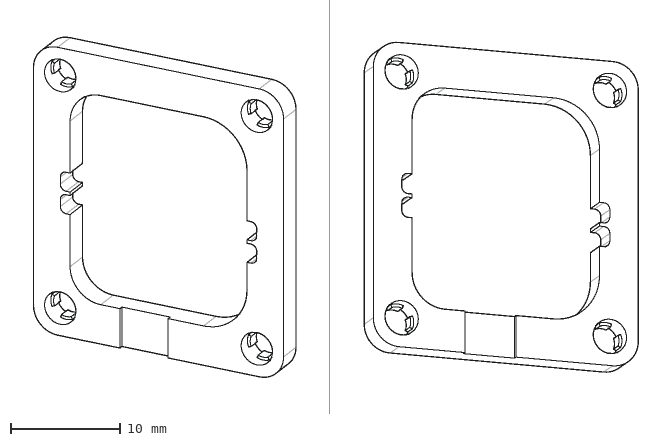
import cadquery as cq
import math

width = 25.8
height = 28.8
thickness = 2.5
corner_radius = 2.5

window_width = 18.23
window_height = 20.9
window_left_radius = 3.17
window_right_radius = 4.45

notch_depth = 1.0
notch_height = 1.9
notch_web = 0.35
notch_radius = 0.6
left_notches_z = 0.0
right_notches_z = -1.12

hole_x = 10.15
hole_z = 11.64
hole_radius = 1.6
tab_inner_radius = 1.32
tab_angle = 45.0
tab_thickness = thickness / 2
tab_count = 4

recess_center_x = -1.5
recess_width = 4.95
recess_depth = 0.4


def block(x_size, z_size, x=0.0, z=0.0, depth=thickness):
    """Box centred on (x, z) that runs from the front face back to the given depth."""
    return cq.Workplane("XY").box(x_size, depth, z_size).translate((x, depth / 2, z))


def cylinder(radius, start, end):
    """Cylinder about the Y axis from y = start to y = end."""
    return cq.Workplane("XZ", origin=(0, start, 0)).circle(radius).extrude(start - end)


def make_window():
    opening = block(window_width, window_height)
    opening = opening.edges("|Y and <X").fillet(window_left_radius)
    return opening.edges("|Y and >X").fillet(window_right_radius)


def make_notch_pair(side, center_z):
    """Two notches cut outward from the window edge; side is -1 for -X and 1 for +X."""
    edge_x = side * window_width / 2
    outer_edges = "|Y and >X" if side > 0 else "|Y and <X"
    pitch = notch_height + notch_web
    pair = cq.Workplane("XY")
    for offset in (-pitch / 2, pitch / 2):
        notch = block(2 * notch_depth, notch_height, edge_x, center_z + offset)
        pair = pair.add(notch.edges(outer_edges).fillet(notch_radius))
    return pair.combine()


def make_tab():
    """One ring sector centred on +X, between the tab radius and the hole wall."""
    wedge_length = 2 * hole_radius
    wedge_half_width = wedge_length * math.tan(math.radians(tab_angle / 2))
    tab_front = thickness - tab_thickness
    wedge = (
        cq.Workplane("XZ", origin=(0, tab_front, 0))
        .polyline([(0, 0), (wedge_length, -wedge_half_width), (wedge_length, wedge_half_width)])
        .close()
        .extrude(-tab_thickness)
    )
    ring = cylinder(hole_radius, tab_front, thickness).cut(
        cylinder(tab_inner_radius, tab_front, thickness)
    )
    return ring.intersect(wedge)


def make_hole():
    """Cutter for a corner hole that leaves the tabs standing."""
    hole = cylinder(hole_radius, 0, thickness)
    tab = make_tab()
    for i in range(tab_count):
        hole = hole.cut(tab.rotate((0, 0, 0), (0, 1, 0), i * 360 / tab_count))
    return hole


def make_recess():
    rail_height = (height - window_height) / 2
    rail_z = -(height - rail_height) / 2
    return block(recess_width, rail_height, recess_center_x, rail_z, recess_depth)


result = block(width, height).edges("|Y").fillet(corner_radius)
result = result.cut(make_window())
result = result.cut(make_notch_pair(-1, left_notches_z))
result = result.cut(make_notch_pair(1, right_notches_z))
result = result.cut(make_recess())

corner_hole = make_hole()
for x in (-hole_x, hole_x):
    for z in (-hole_z, hole_z):
        result = result.cut(corner_hole.translate((x, 0, z)))